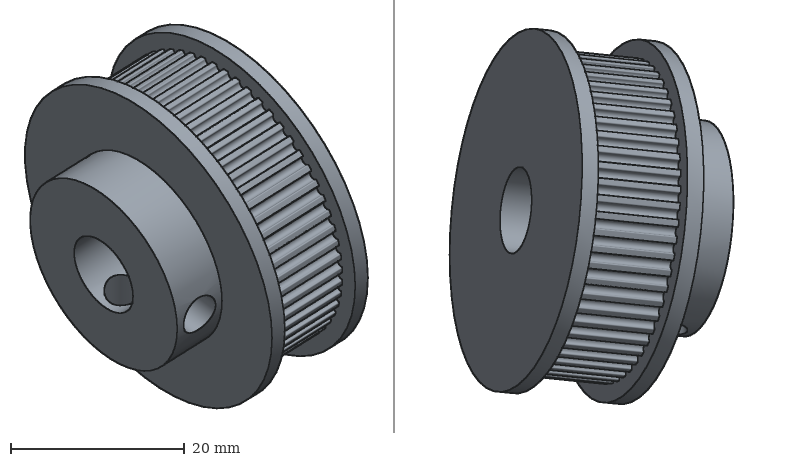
import cadquery as cq
import math


TOOTH_COUNT = 60
BELT_PITCH = 2.0
PITCH_LINE_OFFSET = 0.254

FLANGE_DIAMETER = 42.0
FLANGE_THICKNESS = 2.0
BELT_WIDTH = 11.0
HUB_DIAMETER = 25.0
HUB_LENGTH = 7.0
BORE_DIAMETER = 10.0
SET_SCREW_DIAMETER = 5.0

GROOVE_DEPTH = 0.75
GROOVE_RADIUS = 0.55
TIP_ARC_RADIUS = 0.145

TIP_RADIUS = TOOTH_COUNT * BELT_PITCH / (2 * math.pi) - PITCH_LINE_OFFSET
TOOTH_ANGLE = 2 * math.pi / TOOTH_COUNT

HUB_FRONT = 0.0
HUB_BACK = HUB_FRONT + HUB_LENGTH
TEETH_FRONT = HUB_BACK + FLANGE_THICKNESS
TEETH_BACK = TEETH_FRONT + BELT_WIDTH
PULLEY_BACK = TEETH_BACK + FLANGE_THICKNESS
SET_SCREW_Y = HUB_FRONT + HUB_LENGTH / 2


def section_plane(y):
    """Plane across the axis at y: local x is X, local y is Z, and it faces -Y."""
    return cq.Workplane("XZ", origin=(0, y, 0))


def disc(diameter, front, back):
    """Cylinder on the Y axis between two Y positions."""
    return section_plane(back).circle(diameter / 2).extrude(back - front)


def point_towards(start, target, distance):
    """Point at a distance from start, in the direction of target."""
    share = distance / math.dist(start, target)
    return tuple(s + share * (t - s) for s, t in zip(start, target))


def groove_half_points():
    """Points down the +x side of a groove centred on local +y, from the land to the bottom.

    Ends of arcs alternate with points on them: land end, middle of the tip arc,
    joint of the tip and groove arcs, groove bottom.
    """
    axis = (0.0, 0.0)
    groove_bottom = (0.0, TIP_RADIUS - GROOVE_DEPTH)
    groove_center = (0.0, TIP_RADIUS - GROOVE_DEPTH + GROOVE_RADIUS)

    tip_center_radius = TIP_RADIUS - TIP_ARC_RADIUS
    tip_to_groove = GROOVE_RADIUS + TIP_ARC_RADIUS
    groove_center_radius = math.dist(axis, groove_center)
    tip_angle = math.acos(
        (tip_center_radius**2 + groove_center_radius**2 - tip_to_groove**2)
        / (2 * tip_center_radius * groove_center_radius)
    )
    tip_center = (tip_center_radius * math.sin(tip_angle), tip_center_radius * math.cos(tip_angle))

    land_end = point_towards(axis, tip_center, TIP_RADIUS)
    joint = point_towards(tip_center, groove_center, TIP_ARC_RADIUS)
    chord_middle = point_towards(land_end, joint, math.dist(land_end, joint) / 2)
    tip_middle = point_towards(tip_center, chord_middle, TIP_ARC_RADIUS)
    return [land_end, tip_middle, joint, groove_bottom]


def turned(point, angle):
    """Point turned clockwise about the axis."""
    x, y = point
    return (
        x * math.cos(angle) + y * math.sin(angle),
        y * math.cos(angle) - x * math.sin(angle),
    )


def toothed_ring():
    """Toothed belt seat, with one groove centred on +Z."""
    right_side = groove_half_points()
    left_side = [(-x, y) for x, y in right_side]
    land_middle = turned((0.0, TIP_RADIUS), TOOTH_ANGLE / 2)

    next_land_end = turned(left_side[0], TOOTH_ANGLE)
    groove_and_land = left_side[1:] + right_side[-2::-1] + [land_middle, next_land_end]

    outline = section_plane(TEETH_BACK).moveTo(*left_side[0])
    for tooth in range(TOOTH_COUNT):
        points = [turned(point, tooth * TOOTH_ANGLE) for point in groove_and_land]
        for on_arc, arc_end in zip(points[0::2], points[1::2]):
            outline = outline.threePointArc(on_arc, arc_end)
    return outline.close().extrude(BELT_WIDTH)


def set_screw_hole(direction):
    """Radial hole from the axis out through the hub wall."""
    plane = cq.Plane(origin=(0, SET_SCREW_Y, 0), xDir=(0, 1, 0), normal=direction)
    return cq.Workplane(plane).circle(SET_SCREW_DIAMETER / 2).extrude(HUB_DIAMETER)


hub = disc(HUB_DIAMETER, HUB_FRONT, HUB_BACK)
front_flange = disc(FLANGE_DIAMETER, HUB_BACK, TEETH_FRONT)
back_flange = disc(FLANGE_DIAMETER, TEETH_BACK, PULLEY_BACK)
bore = disc(BORE_DIAMETER, HUB_FRONT, PULLEY_BACK)

result = toothed_ring().union(front_flange).union(back_flange).union(hub).cut(bore)

for screw_direction in [(1, 0, 0), (0, 0, -1)]:
    result = result.cut(set_screw_hole(screw_direction))